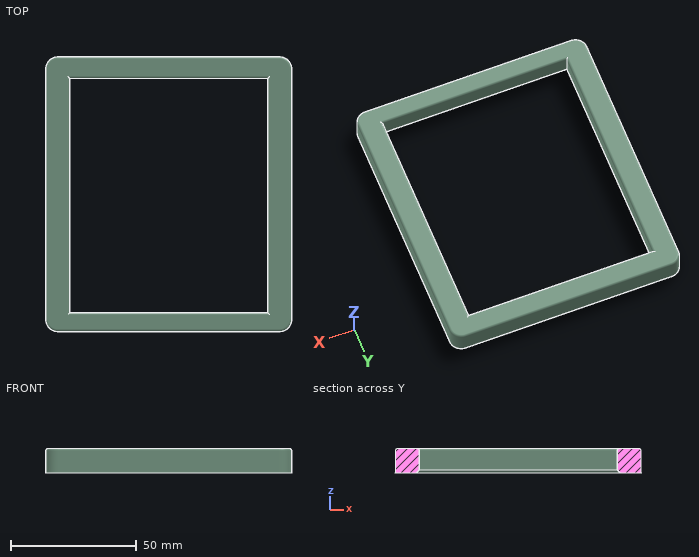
import cadquery as cq

width = 98.4
length = 110.0
height = 9.9
corner_radius = 5.0
top_edge_radius = 1.0

window_width = 79.0
window_length = 93.5
window_center_y = -0.5
window_bottom_chamfer = 1.3

frame = cq.Workplane("XY").rect(width, length).extrude(height)
frame = frame.edges("|Z").fillet(corner_radius)

window = (
    cq.Workplane("XY")
    .center(0, window_center_y)
    .rect(window_width, window_length)
    .extrude(height)
)
frame = frame.cut(window)

frame = frame.faces(">Z").edges().fillet(top_edge_radius)

window_rim = cq.selectors.BoxSelector(
    (-width / 2 + corner_radius, -length / 2 + corner_radius, -top_edge_radius),
    (width / 2 - corner_radius, length / 2 - corner_radius, top_edge_radius),
    boundingbox=True,
)
result = frame.edges(window_rim).chamfer(window_bottom_chamfer)